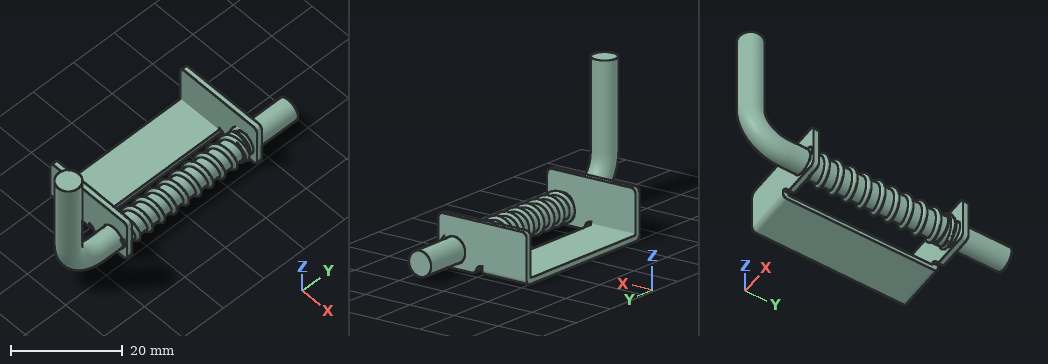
import cadquery as cq
import math

bracket_length = 33.35
bracket_width = 20.0
bracket_height = 10.0
sheet = 1.2
base_width = 10.1
inner_bend_radius = 0.3
outer_bend_radius = 1.0
corner_radius = 1.0
notch_height = 1.7
relief_radius = 1.35
hole_diameter = 5.2

pin_diameter = 5.0
pin_x = 16.5
pin_z = 3.5
rear_length = 10.0
front_length = 4.15
elbow_radius = 7.0
pin_top = 28.5
pin_rear_y = bracket_length + rear_length
elbow_start_y = -front_length
leg_y = elbow_start_y - elbow_radius
leg_bottom_z = pin_z + elbow_radius

collar_diameter = 5.8
collar_rear_gap = 1.9
collar_taper_length = 0.5
collar_length = 1.8

wire_diameter = 1.0
coil_diameter = 5.35
pitch = 3.0
turns = 11
spring_length = pitch * turns
spring_start_y = (bracket_length - spring_length) / 2
start_angle = 30


def make_plate(front_y):
    """Part of an upright plate that reaches past the base, with the relief notch."""
    relief_center_z = notch_height - relief_radius
    center_rise = corner_radius - relief_center_z
    center_distance = relief_radius + corner_radius
    center_run = math.sqrt(center_distance**2 - center_rise**2)
    blend_x = base_width + center_run
    slope = math.atan2(center_rise, center_run)

    def relief_point(angle):
        return (
            base_width + relief_radius * math.cos(angle),
            relief_center_z + relief_radius * math.sin(angle),
        )

    def blend_point(angle):
        return (
            blend_x - corner_radius * math.cos(angle),
            corner_radius - corner_radius * math.sin(angle),
        )

    quarter_turn = math.pi / 2
    relief_middle = relief_point((quarter_turn + slope) / 2)
    blend_middle = blend_point((quarter_turn + slope) / 2)
    plate = (
        cq.Workplane("XZ", origin=(0, front_y + sheet, 0))
        .moveTo(base_width, notch_height)
        .threePointArc(relief_middle, relief_point(slope))
        .threePointArc(blend_middle, (blend_x, 0))
        .lineTo(bracket_width, 0)
        .lineTo(bracket_width, bracket_height)
        .lineTo(base_width, bracket_height)
        .close()
        .extrude(sheet)
    )
    return plate.edges("|Y and >X").fillet(corner_radius)


def make_bent_strip():
    """U-shaped channel with rounded bends and top corners, as wide as the base."""
    outside = (
        cq.Workplane("XY")
        .box(base_width, bracket_length, bracket_height, centered=False)
        .edges("|X and <Z")
        .fillet(outer_bend_radius)
    )
    inside = (
        cq.Workplane("XY", origin=(0, sheet, sheet))
        .box(base_width, bracket_length - 2 * sheet, bracket_height, centered=False)
        .edges("|X and <Z")
        .fillet(inner_bend_radius)
    )
    channel = outside.cut(inside)
    return channel.edges("|Y and <X and >Z").fillet(corner_radius)


def make_bracket(spring):
    """Bracket with pin holes and recesses for the ends of the spring."""
    strip = make_bent_strip()
    plates = make_plate(0).union(make_plate(bracket_length - sheet))
    holes = (
        cq.Workplane("XZ", origin=(pin_x, bracket_length, pin_z))
        .circle(hole_diameter / 2)
        .extrude(bracket_length)
    )
    bracket = strip.union(plates).cut(holes)
    return bracket.cut(bracket.intersect(spring))


def make_bar():
    """Plain bent bar, swept along its centre line."""
    elbow_reach = elbow_radius * math.sqrt(0.5)
    elbow_middle = (elbow_start_y - elbow_reach, leg_bottom_z - elbow_reach)
    path = (
        cq.Workplane("YZ", origin=(pin_x, 0, 0))
        .moveTo(pin_rear_y, pin_z)
        .lineTo(elbow_start_y, pin_z)
        .threePointArc(elbow_middle, (leg_y, leg_bottom_z))
        .lineTo(leg_y, pin_top)
    )
    return (
        cq.Workplane("XZ", origin=(pin_x, pin_rear_y, pin_z))
        .circle(pin_diameter / 2)
        .sweep(path)
    )


def make_collar():
    """Ring turned about the pin axis; its taper runs down to the bar's surface."""
    bar_radius = pin_diameter / 2
    collar_radius = collar_diameter / 2
    rear_y = bracket_length - collar_rear_gap
    front_y = rear_y - collar_length
    return (
        cq.Workplane("XY", origin=(pin_x, 0, pin_z))
        .moveTo(-bar_radius, front_y)
        .lineTo(-collar_radius, front_y)
        .lineTo(-collar_radius, rear_y - collar_taper_length)
        .lineTo(-bar_radius, rear_y)
        .close()
        .revolve(360, (0, 0, 0), (0, 1, 0))
    )


def make_spring(bar, collar):
    """Right-handed coil, wound along Z, laid along the pin and seated on its surface."""
    coil_radius = coil_diameter / 2
    helix = cq.Wire.makeHelix(pitch, spring_length, coil_radius)
    wire = (
        cq.Workplane("XZ", origin=(coil_radius, 0, 0))
        .circle(wire_diameter / 2)
        .sweep(cq.Workplane(helix), isFrenet=True)
    )
    coil = (
        wire.rotate((0, 0, 0), (0, 0, 1), -start_angle)
        .rotate((0, 0, 0), (1, 0, 0), -90)
        .translate((pin_x, spring_start_y, pin_z))
    )
    return coil.cut(bar).cut(collar)


bar = make_bar()
collar = make_collar()
pin = bar.union(collar)
spring = make_spring(bar, collar)
bracket = make_bracket(spring)

result = cq.Compound.makeCompound(
    [bracket.solids().val(), pin.solids().val(), spring.solids().val()]
)